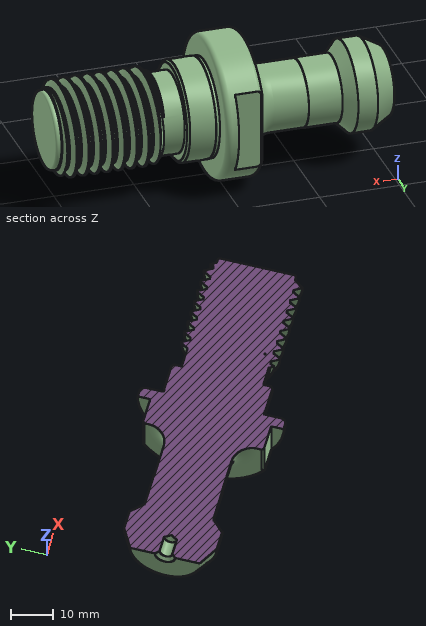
import cadquery as cq
import math

total_length = 85.0
head_land_start = 5.1
head_land_end = 10.0
neck_relief_start = 21.4
flange_start = 35.0
flange_end = 45.0
pilot_end = 53.0
thread_start = 58.0
core_end = 83.3
tail_start = 83.7

head_face_radius = 8.6
head_radius = 11.5
neck_radius = 8.5
neck_relief_radius = 8.4
flange_radius = 18.0
pilot_radius = 12.5
core_radius = 10.1
thread_radius = 12.0
tail_radius = 9.7

head_edge_round = 0.5
neck_fillet = 5.0
flange_round = 1.45
pilot_chamfer = 0.6
groove_width = 0.9
groove_depth = 0.1
tail_round = 0.6

flat_offset = 15.0
flat_end = 42.0
flat_chamfer = 0.5

hole_radius = 1.5
countersink_radius = 2.5
hole_depth = 5.1
drill_tip_angle = 118.0

thread_run = 21.0
full_turns = 7
spare_turns = 2
thread_pitch = thread_run / full_turns
crest_width = 0.37
flank_angle = 30.0
top_crest_station = 60.3
thread_runout = 1.9
crest_clearance = 0.85
root_overlap = 0.25


def make_body():
    head_end = head_land_end + head_radius - neck_radius
    fillet_start = flange_start - neck_fillet
    fillet_top = neck_relief_radius + neck_fillet
    diagonal = neck_fillet * math.sqrt(0.5)
    fillet_middle = (fillet_start + diagonal, fillet_top - diagonal)
    groove_end = flange_end + groove_width
    profile = (
        cq.Workplane("XY")
        .lineTo(0, head_face_radius)
        .lineTo(head_land_start, head_radius)
        .lineTo(head_land_end, head_radius)
        .lineTo(head_end, neck_radius)
        .lineTo(neck_relief_start, neck_radius)
        .lineTo(neck_relief_start, neck_relief_radius)
        .lineTo(fillet_start, neck_relief_radius)
        .threePointArc(fillet_middle, (flange_start, fillet_top))
        .lineTo(flange_start, flange_radius)
        .lineTo(flange_end, flange_radius)
        .lineTo(flange_end, pilot_radius - groove_depth)
        .lineTo(groove_end, pilot_radius - groove_depth)
        .lineTo(groove_end, pilot_radius)
        .lineTo(pilot_end - pilot_chamfer, pilot_radius)
        .lineTo(pilot_end, pilot_radius - pilot_chamfer)
        .lineTo(pilot_end, core_radius)
        .lineTo(core_end, core_radius)
        .lineTo(tail_start, tail_radius)
        .lineTo(total_length, tail_radius)
        .lineTo(total_length, 0)
        .close()
    )
    body = profile.revolve(360, (0, 0, 0), (1, 0, 0))
    flange_edges = body.edges(cq.selectors.RadiusNthSelector(-1))
    body = flange_edges.fillet(flange_round)
    body = body.faces("<X").edges().fillet(head_edge_round)
    return body.faces(">X").edges().fillet(tail_round)


def cut_flats(body):
    margin = 0.85
    for side in (1, -1):
        outline = (
            cq.Workplane("XY")
            .moveTo(flange_start - margin, side * (flat_offset - flat_chamfer - margin))
            .lineTo(flange_start + flat_chamfer, side * flat_offset)
            .lineTo(flat_end, side * flat_offset)
            .lineTo(flat_end, side * (flange_radius + margin))
            .lineTo(flange_start - margin, side * (flange_radius + margin))
            .close()
        )
        body = body.cut(outline.extrude(flange_radius, both=True))
    return body


def make_center_hole():
    countersink_depth = countersink_radius - hole_radius
    tip_depth = hole_radius / math.tan(math.radians(drill_tip_angle / 2))
    return (
        cq.Workplane("XY")
        .lineTo(0, countersink_radius)
        .lineTo(countersink_depth, hole_radius)
        .lineTo(hole_depth, hole_radius)
        .lineTo(hole_depth + tip_depth, 0)
        .close()
        .revolve(360, (0, 0, 0), (1, 0, 0))
    )


def make_thread():
    """Right-hand helical ridge, trimmed by a cone at each end."""
    root_radius = core_radius - root_overlap
    half_crest = crest_width / 2
    half_root = half_crest + (thread_radius - root_radius) * math.tan(math.radians(flank_angle))
    first_crest = top_crest_station - spare_turns * thread_pitch
    path = cq.Wire.makeHelix(thread_pitch, thread_run + 2 * spare_turns * thread_pitch, root_radius)
    ridge = (
        cq.Workplane("XZ")
        .moveTo(root_radius, -half_root)
        .lineTo(thread_radius, -half_crest)
        .lineTo(thread_radius, half_crest)
        .lineTo(root_radius, half_root)
        .close()
        .sweep(cq.Workplane(path), isFrenet=True)
        .rotate((0, 0, 0), (0, 1, 0), 90)
        .rotate((0, 0, 0), (1, 0, 0), 180)
        .translate((first_crest, 0, 0))
    )
    envelope_radius = thread_radius + crest_clearance
    runout_length = thread_runout * (envelope_radius - tail_radius) / (thread_radius - tail_radius)
    lead_in_radius = core_radius + root_overlap
    envelope = (
        cq.Workplane("XY")
        .moveTo(thread_start, 0)
        .lineTo(thread_start, lead_in_radius)
        .lineTo(thread_start + envelope_radius - lead_in_radius, envelope_radius)
        .lineTo(tail_start - runout_length, envelope_radius)
        .lineTo(tail_start, tail_radius)
        .lineTo(tail_start, 0)
        .close()
        .revolve(360, (0, 0, 0), (1, 0, 0))
    )
    return ridge.intersect(envelope)


result = cut_flats(make_body()).cut(make_center_hole()).union(make_thread())